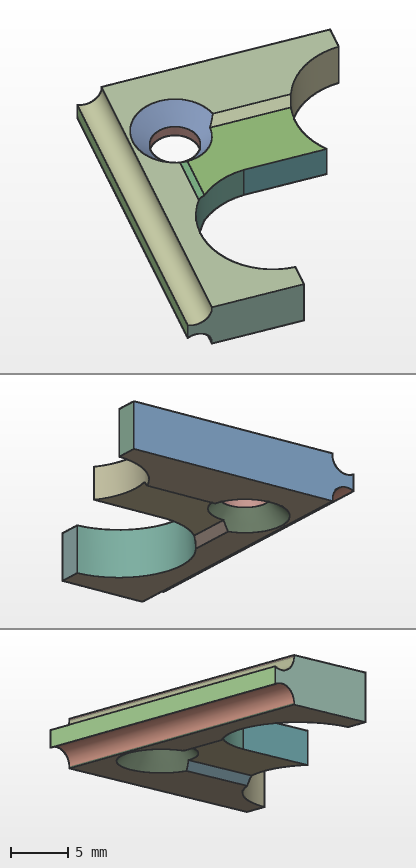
import cadquery as cq
import math

length = 28.9
depth = 23.5
thickness = 4.5
half_thickness = thickness / 2

seat_radius = 6.73
end_wall = 2.25
seat_center_rise = 0.3
low_end_y = 10.8
upper_seat = (end_wall + seat_radius, depth + seat_center_rise)
lower_seat = (length - end_wall - seat_radius, low_end_y + seat_center_rise)
step_x = lower_seat[0] - seat_radius

hole_center = (7.28, 6.5)
hole_radius = 2.23
countersink_radius = 3.93
countersink_half_angle = math.radians(45)
countersink_depth = (countersink_radius - hole_radius) / math.tan(countersink_half_angle)

recess_depth = 0.7
recess_slope_run = 0.9
recess_end_x = lower_seat[0]

groove_edge_y = 2.25
groove_radius = 1.5
web_thickness = 1.2


def make_body():
    """L-shaped plate with a tall left leg and a low right leg."""
    outline = [
        (0, 0),
        (length, 0),
        (length, low_end_y),
        (step_x, low_end_y),
        (step_x, depth),
        (0, depth),
    ]
    return cq.Workplane("XY").workplane(offset=-half_thickness).polyline(outline).close().extrude(thickness)


def make_seat(center):
    """Cylinder that cuts a round seat through the plate."""
    return cq.Workplane("XY").workplane(offset=-half_thickness).center(*center).circle(seat_radius).extrude(thickness)


def make_recess():
    """Inner corner pocket in the top face: its floor edges meet at the hole axis and its walls slope outward."""
    floor_x, floor_y = hole_center
    floor_z = half_thickness - recess_depth

    along_y = (
        cq.Workplane("XZ")
        .polyline([
            (floor_x - recess_slope_run, half_thickness),
            (floor_x, floor_z),
            (recess_end_x, floor_z),
            (recess_end_x, half_thickness),
        ])
        .close()
        .extrude(-depth)
    )
    along_x = (
        cq.Workplane("YZ")
        .polyline([
            (floor_y - recess_slope_run, half_thickness),
            (floor_y, floor_z),
            (depth, floor_z),
            (depth, half_thickness),
        ])
        .close()
        .extrude(length)
    )
    return along_y.intersect(along_x)


def make_screw_hole():
    """Through hole with a conical countersink at each face."""
    countersink_bottom = half_thickness - countersink_depth
    return (
        cq.Workplane("XZ")
        .polyline([
            (0, -half_thickness),
            (countersink_radius, -half_thickness),
            (hole_radius, -countersink_bottom),
            (hole_radius, countersink_bottom),
            (countersink_radius, half_thickness),
            (0, half_thickness),
        ])
        .close()
        .revolve(360, (0, 0), (0, 1))
        .translate((*hole_center, 0))
    )


def make_groove(side):
    """Edge groove on the top (side = 1) or bottom (side = -1) face."""
    center_y = groove_edge_y - groove_radius
    center_z = web_thickness / 2 + groove_radius
    tip_z = center_z - math.sqrt(groove_radius**2 - center_y**2)
    diagonal = groove_radius * math.sqrt(0.5)
    return (
        cq.Workplane("YZ")
        .moveTo(0, side * half_thickness)
        .lineTo(groove_edge_y, side * half_thickness)
        .lineTo(groove_edge_y, side * center_z)
        .threePointArc((center_y + diagonal, side * (center_z - diagonal)), (0, side * tip_z))
        .close()
        .extrude(length)
    )


result = make_body()
for seat_center in (upper_seat, lower_seat):
    result = result.cut(make_seat(seat_center))
top_recess = make_recess()
result = result.cut(top_recess).cut(top_recess.mirror("XY")).cut(make_screw_hole())
for face_side in (1, -1):
    result = result.cut(make_groove(face_side))